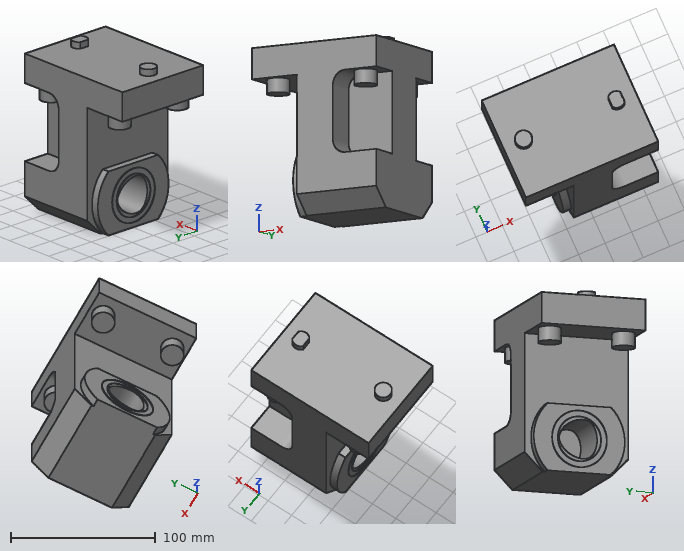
import cadquery as cq
import math


LENGTH = 100.0
WIDTH = 76.0
HEIGHT = 124
PIN_HEIGHT = 5
PLATE_THICKNESS = 22.0
PLATE_TOP = HEIGHT - PIN_HEIGHT
PLATE_BOTTOM = PLATE_TOP - PLATE_THICKNESS
BODY_LEFT = 36.2
BODY_CHAMFER = 13.1

POCKET_LEFT = 65.1
POCKET_BOTTOM = 39.0
POCKET_DEPTH = 21.6
POCKET_RADIUS = 10.0

STATION_INSET = 14.9
STATIONS = (STATION_INSET, LENGTH - STATION_INSET)
PIN_DIAMETER = 12.0
FLAT_PIN_WIDTH = 9.3
SCREW_DIAMETER = 16.0
SCREW_HEIGHT = 10.0
SCREW_OFFSET = 27.0

BORE_Z = 23.8
FLANGE_DIAMETER = 66.6
FLANGE_LEFT = 30.3
RING_DIAMETER = 40.0
RING_HEIGHT = 0.5
RECESS_DIAMETER = 31.6
RECESS_DEPTH = 0.5
LOBE_MEAN_RADIUS = 13.9
LOBE_ECCENTRICITY = 0.9
BORE_DEPTH = 32.2
BORE_TAPER = 1 / 40
LOBE_STEPS = 60


def box(left, right, front, back, bottom, top):
    """Block between two X, two Y and two Z planes."""
    size = (right - left, back - front, top - bottom)
    return cq.Workplane("XY").box(*size, centered=False).translate((left, front, bottom))


def disc_along_x(left, diameter, length):
    """Cylinder on the bore axis, starting at X = left."""
    return cq.Workplane("YZ", origin=(left, 0, BORE_Z)).circle(diameter / 2).extrude(length)


def post(x, y, bottom, diameter, height):
    """Upright cylinder."""
    return cq.Workplane("XY", origin=(x, y, bottom)).circle(diameter / 2).extrude(height)


def make_housing():
    """Plate with the shorter body below it, chamfered along its two lower edges."""
    plate = box(0, LENGTH, -WIDTH / 2, WIDTH / 2, PLATE_BOTTOM, PLATE_TOP)
    body = box(BODY_LEFT, LENGTH, -WIDTH / 2, WIDTH / 2, 0, PLATE_BOTTOM)
    body = body.faces("<Z").edges("|X").chamfer(BODY_CHAMFER)
    return plate.union(body)


def make_pocket(front):
    """Pocket open toward +X, with its two inner corners rounded."""
    pocket = box(POCKET_LEFT, LENGTH, front, front + POCKET_DEPTH, POCKET_BOTTOM, PLATE_BOTTOM)
    return pocket.edges("|Y and <X").fillet(POCKET_RADIUS)


def make_pins():
    """Round pin on the left and a pin with two flats on the right."""
    left_x, right_x = STATIONS
    round_pin = post(left_x, 0, PLATE_TOP, PIN_DIAMETER, PIN_HEIGHT)
    flat_pin = post(right_x, 0, PLATE_TOP, PIN_DIAMETER, PIN_HEIGHT)
    half_flat = FLAT_PIN_WIDTH / 2
    half_pin = PIN_DIAMETER / 2
    flats = box(right_x - half_flat, right_x + half_flat, -half_pin, half_pin, PLATE_TOP, HEIGHT)
    return round_pin.union(flat_pin.intersect(flats))


def make_flange():
    """Round flange cut flat at the bottom of the body and equally above the bore."""
    flange = disc_along_x(FLANGE_LEFT, FLANGE_DIAMETER, BODY_LEFT - FLANGE_LEFT)
    flats = box(FLANGE_LEFT, BODY_LEFT, -WIDTH / 2, WIDTH / 2, 0, 2 * BORE_Z)
    ring = disc_along_x(FLANGE_LEFT - RING_HEIGHT, RING_DIAMETER, RING_HEIGHT)
    return flange.intersect(flats).union(ring)


def lobed_wire(x, mean_radius):
    """Three-lobed closed curve of constant width on the bore axis, one lobe toward +Y."""
    points = []
    for step in range(LOBE_STEPS):
        angle = 2 * math.pi * step / LOBE_STEPS
        support = mean_radius + LOBE_ECCENTRICITY * math.cos(3 * angle)
        slope = -3 * LOBE_ECCENTRICITY * math.sin(3 * angle)
        y = support * math.cos(angle) - slope * math.sin(angle)
        z = support * math.sin(angle) + slope * math.cos(angle)
        points.append(cq.Vector(x, y, BORE_Z + z))
    return cq.Wire.assembleEdges([cq.Edge.makeSpline(points, periodic=True)])


def make_bore():
    """Shallow round recess with the tapered lobed bore behind it."""
    face = FLANGE_LEFT - RING_HEIGHT
    mouth = face + RECESS_DEPTH
    end_radius = LOBE_MEAN_RADIUS - BORE_DEPTH * BORE_TAPER
    outlines = [lobed_wire(mouth, LOBE_MEAN_RADIUS), lobed_wire(mouth + BORE_DEPTH, end_radius)]
    lobed_bore = cq.Workplane(cq.Solid.makeLoft(outlines, True))
    return lobed_bore.union(disc_along_x(face, RECESS_DIAMETER, RECESS_DEPTH))


result = make_housing().union(make_pins()).union(make_flange())
for pocket_front in (-WIDTH / 2, WIDTH / 2 - POCKET_DEPTH):
    result = result.cut(make_pocket(pocket_front))
for screw_x in STATIONS:
    for screw_y in (-SCREW_OFFSET, SCREW_OFFSET):
        screw_head = post(screw_x, screw_y, PLATE_BOTTOM - SCREW_HEIGHT, SCREW_DIAMETER, SCREW_HEIGHT)
        result = result.union(screw_head)
result = result.cut(make_bore())